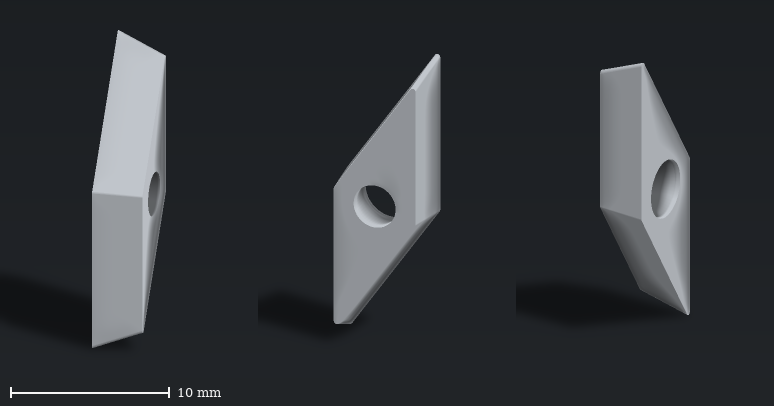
import cadquery as cq
import math

THICKNESS = 3.18
WIDTH = 6.35
LENGTH = 19.29
POINT_ANGLE = math.radians(35.0)
RELIEF_ANGLE = math.radians(7.0)

BORE_RADIUS = 1.43
LIP_OUTER_RADIUS = 1.91
LIP_INNER_RADIUS = 1.83
LIP_DEPTH = 0.33
BORE_START = 1.74


def rhombus_points(width):
    """Corners (Y, Z) of a centred rhombus with two sides parallel to Z."""
    side = width / math.sin(POINT_ANGLE)
    rise = side * math.cos(POINT_ANGLE)
    half_width = width / 2
    tip = (side + rise) / 2
    shoulder = (side - rise) / 2
    return [
        (half_width, tip),
        (half_width, -shoulder),
        (-half_width, -tip),
        (-half_width, shoulder),
    ]


def nose_radius():
    """Corner radius that shortens the sharp rhombus to LENGTH."""
    sharp_tip = rhombus_points(WIDTH)[0][1]
    half_point = math.tan(POINT_ANGLE / 2)
    edge_slope = math.tan(RELIEF_ANGLE) / half_point
    tip_to_axis = 1 / (math.cos(RELIEF_ANGLE) * half_point)
    axis_to_top = math.hypot(1, edge_slope)
    return (sharp_tip - LENGTH / 2) / (tip_to_axis - axis_to_top)


def insert_body():
    """Rhombus tapering from the large face at X = 0, with rounded corners."""
    inset = THICKNESS * math.tan(RELIEF_ANGLE)
    body = (
        cq.Workplane("YZ")
        .polyline(rhombus_points(WIDTH)).close()
        .workplane(offset=THICKNESS)
        .polyline(rhombus_points(WIDTH - 2 * inset)).close()
        .loft(ruled=True)
    )
    return body.edges("not #X").fillet(nose_radius())


def screw_hole():
    """Through hole whose seat narrows along an arc tangent to the bore."""
    seat_depth = BORE_START - LIP_DEPTH
    flare = LIP_INNER_RADIUS - BORE_RADIUS
    arc_radius = (flare**2 + seat_depth**2) / (2 * flare)
    half_sweep = math.asin(seat_depth / arc_radius) / 2
    arc_middle = (
        BORE_START - arc_radius * math.sin(half_sweep),
        BORE_RADIUS + arc_radius * (1 - math.cos(half_sweep)),
    )
    return (
        cq.Workplane("XY")
        .lineTo(0, LIP_OUTER_RADIUS)
        .lineTo(LIP_DEPTH, LIP_INNER_RADIUS)
        .threePointArc(arc_middle, (BORE_START, BORE_RADIUS))
        .lineTo(THICKNESS, BORE_RADIUS)
        .lineTo(THICKNESS, 0)
        .close()
        .revolve(360, (0, 0, 0), (1, 0, 0))
    )


result = insert_body().cut(screw_hole())